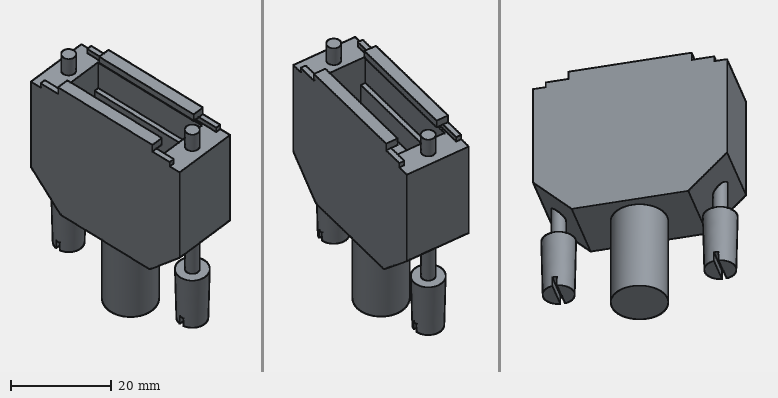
import cadquery as cq

body_width = 40.0
body_depth = 15.0
body_height = 31.0
corner_chamfer = 8.0

outlet_diameter = 11.5
outlet_length = 20.05

cavity_width = 27.85
cavity_depth_y = 11.6
ledge_depth = 7.0
lower_cavity_depth_y = 9.4
lower_cavity_height = 5.55

low_rail_length = 34.75
low_rail_thickness = 1.2
low_rail_height = 1.15
high_rail_length = 25.4
high_rail_thickness = 2.8
high_rail_height = 1.8

screw_spacing = 33.3
pin_diameter = 3.0
pin_top = 55.5
knob_bottom = 5.0
knob_height = 13.0
knob_top_diameter = 7.0
knob_bottom_diameter = 6.45
slot_width = 0.95
slot_depth = 2.1

body_top = outlet_length + body_height
low_rail_top = body_top + low_rail_height


def block(width, depth, height, bottom, center_y=0):
    """Box centred on X, standing on the given bottom level."""
    return (
        cq.Workplane("XY", origin=(0, center_y, bottom))
        .box(width, depth, height, centered=(True, True, False))
    )


def make_body():
    """Hood with chamfered lower corners and a stepped cavity."""
    ledge_level = body_top - ledge_depth
    hood = block(body_width, body_depth, body_height, outlet_length)
    hood = hood.faces("<Z").edges("|Y").chamfer(corner_chamfer)
    hood = hood.cut(block(cavity_width, cavity_depth_y, ledge_depth, ledge_level))
    return hood.cut(
        block(cavity_width, lower_cavity_depth_y, lower_cavity_height, ledge_level - lower_cavity_height)
    )


def make_rails(side):
    """Low rail carrying a shorter high rail that overhangs the cavity."""
    low_y = side * (body_depth - low_rail_thickness) / 2
    high_y = side * (body_depth - high_rail_thickness) / 2
    low_rail = block(low_rail_length, low_rail_thickness, low_rail_height, body_top, low_y)
    high_rail = block(high_rail_length, high_rail_thickness, high_rail_height, low_rail_top, high_y)
    return low_rail.union(high_rail)


def make_screw(side):
    """Pin through the body with a tapered, slotted knob at its lower end."""
    knob_top = knob_bottom + knob_height
    knob = (
        cq.Workplane("XY", origin=(0, 0, knob_bottom))
        .circle(knob_bottom_diameter / 2)
        .workplane(offset=knob_height)
        .circle(knob_top_diameter / 2)
        .loft(ruled=True)
    )
    knob = knob.cut(block(slot_width, knob_top_diameter, slot_depth, knob_bottom))
    pin = (
        cq.Workplane("XY", origin=(0, 0, knob_top))
        .circle(pin_diameter / 2)
        .extrude(pin_top - knob_top)
    )
    return knob.union(pin).translate((side * screw_spacing / 2, 0, 0))


outlet = cq.Workplane("XY").circle(outlet_diameter / 2).extrude(outlet_length)

result = make_body().union(outlet)
for side in (-1, 1):
    result = result.union(make_rails(side)).union(make_screw(side))